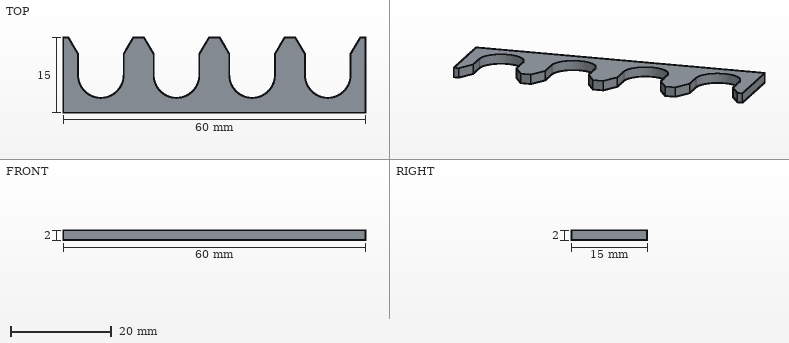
import cadquery as cq

length = 60.0
depth = 15.0
thickness = 2.0

slot_count = 4
slot_pitch = length / slot_count
slot_width = 9.0
slot_floor = 3.0
slot_radius = slot_width / 2
arc_center_y = slot_floor + slot_radius

tip_width = 2.1
mouth_width = slot_pitch - tip_width
flare_depth = 3.3


def slot_cutter(center_x):
    """Solid filling one slot: round bottom, straight sides, flared mouth."""
    half_mouth = mouth_width / 2
    flare_start_y = depth - flare_depth
    return (
        cq.Workplane("XY")
        .moveTo(center_x - half_mouth, depth)
        .lineTo(center_x - slot_radius, flare_start_y)
        .lineTo(center_x - slot_radius, arc_center_y)
        .threePointArc((center_x, slot_floor), (center_x + slot_radius, arc_center_y))
        .lineTo(center_x + slot_radius, flare_start_y)
        .lineTo(center_x + half_mouth, depth)
        .close()
        .extrude(thickness)
    )


result = cq.Workplane("XY").box(length, depth, thickness, centered=False)
for index in range(slot_count):
    result = result.cut(slot_cutter((index + 0.5) * slot_pitch))